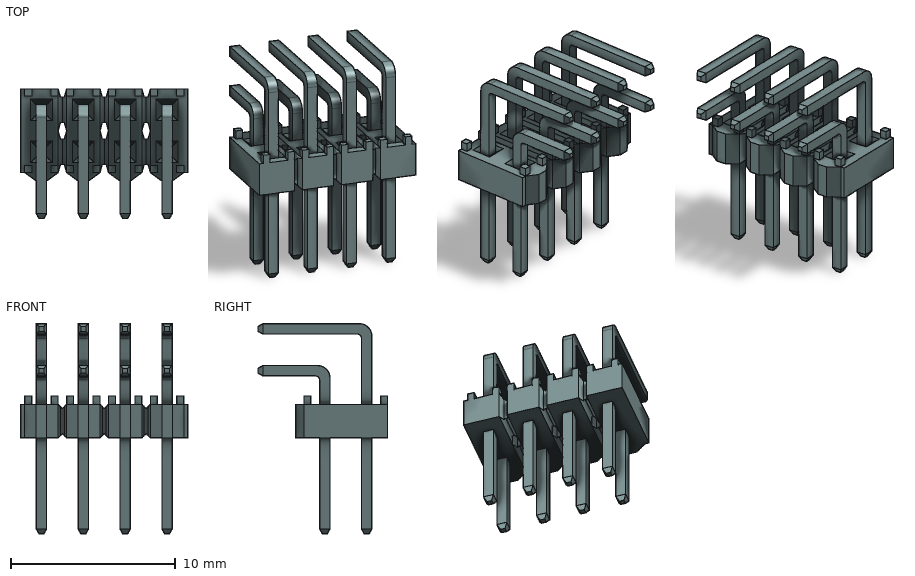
import cadquery as cq

pitch = 2.54
columns = 4

body_length = columns * pitch
body_depth = 2 * pitch
body_height = 2.032
nose_depth = 0.508

groove_half_width = 0.254
groove_depth = 0.254
notch_half_length = 0.488
notch_waist_half_width = 0.115
segment_half_width = pitch / 2 - groove_half_width

post_size = 0.43
post_height = 0.52

pocket_width = 1.31
pocket_depth = 0.24

pin_width = 0.64
tip_length = 0.305
tip_width = 0.3
inner_bend_radius = 0.25
outer_bend_radius = 0.76
pin_bottom = -7.864
pin_front = -7.87
back_row_top = 4.9

column_centers = [(i - (columns - 1) / 2) * pitch for i in range(columns)]
break_lines = [x + pitch / 2 for x in column_centers[:-1]]
back_row_y = -pitch / 2
front_row_y = back_row_y - pitch
pin_rows = [(back_row_y, back_row_top), (front_row_y, back_row_top - pitch)]


def make_block():
    """Plain block spanning all columns and both rows."""
    return cq.Workplane("XY").box(body_length, body_depth, body_height).translate(
        (0, -body_depth / 2, -body_height / 2)
    )


def make_nose(x):
    """Trapezoidal bulge on the front of one column."""
    return (
        cq.Workplane("XY", origin=(x, -body_depth, -body_height))
        .moveTo(-segment_half_width, 0)
        .lineTo(-pin_width / 2, -nose_depth)
        .lineTo(pin_width / 2, -nose_depth)
        .lineTo(segment_half_width, 0)
        .close()
        .extrude(body_height)
    )


def make_groove(x, face_z, depth):
    """V groove along Y; its apex lies depth below face_z, or above it when depth is negative."""
    return (
        cq.Workplane("XZ", origin=(x, 0, face_z))
        .moveTo(-groove_half_width, 0)
        .lineTo(0, -depth)
        .lineTo(groove_half_width, 0)
        .close()
        .extrude(body_depth)
    )


def make_notch(x, y):
    """Hexagonal prism through the body, widest at its middle."""
    return (
        cq.Workplane("XY", origin=(x, y, -body_height))
        .moveTo(-groove_half_width, 0)
        .lineTo(-notch_waist_half_width, notch_half_length)
        .lineTo(notch_waist_half_width, notch_half_length)
        .lineTo(groove_half_width, 0)
        .lineTo(notch_waist_half_width, -notch_half_length)
        .lineTo(-notch_waist_half_width, -notch_half_length)
        .close()
        .extrude(body_height)
    )


def make_pocket(x, y):
    """Pyramid-shaped recess narrowing down to the pin."""
    return (
        cq.Workplane("XY", origin=(x, y, 0))
        .rect(pocket_width, pocket_width)
        .workplane(offset=-pocket_depth)
        .rect(pin_width, pin_width)
        .loft(ruled=True)
    )


def make_posts(x):
    """Four posts at the corners of one column."""
    reach = segment_half_width - post_size / 2
    corners = [
        (x + side * reach, y)
        for side in (-1, 1)
        for y in (-post_size / 2, -body_depth + post_size / 2)
    ]
    return cq.Workplane("XY").pushPoints(corners).rect(post_size, post_size).extrude(post_height)


def make_tip(plane):
    """Tapered pin end growing along the normal of the plane."""
    return (
        cq.Workplane(plane)
        .rect(pin_width, pin_width)
        .workplane(offset=tip_length)
        .rect(tip_width, tip_width)
        .loft(ruled=True)
    )


def make_pin(x, y, top):
    """Bent pin: vertical leg at y, horizontal leg toward -Y with its upper side at top."""
    half = pin_width / 2
    leg_bottom = pin_bottom + tip_length
    leg_front = pin_front + tip_length
    shank = (
        cq.Workplane("YZ", origin=(x - half, 0, 0))
        .moveTo(y + half, leg_bottom)
        .lineTo(y + half, top - outer_bend_radius)
        .radiusArc((y + half - outer_bend_radius, top), -outer_bend_radius)
        .lineTo(leg_front, top)
        .lineTo(leg_front, top - pin_width)
        .lineTo(y - half - inner_bend_radius, top - pin_width)
        .radiusArc((y - half, top - pin_width - inner_bend_radius), inner_bend_radius)
        .lineTo(y - half, leg_bottom)
        .close()
        .extrude(pin_width)
    )
    lower_end = cq.Plane(origin=(x, y, leg_bottom), xDir=(1, 0, 0), normal=(0, 0, -1))
    front_end = cq.Plane(origin=(x, leg_front, top - half), xDir=(1, 0, 0), normal=(0, -1, 0))
    return shank.union(make_tip(lower_end)).union(make_tip(front_end))


result = make_block()

for x in column_centers:
    result = result.union(make_nose(x)).union(make_posts(x))

for x in break_lines:
    result = result.cut(make_groove(x, 0, groove_depth))
    result = result.cut(make_groove(x, -body_height, -groove_depth))
    for y in (0, -body_depth / 2, -body_depth):
        result = result.cut(make_notch(x, y))

for x in column_centers:
    for y, top in pin_rows:
        result = result.cut(make_pocket(x, y)).union(make_pin(x, y, top))